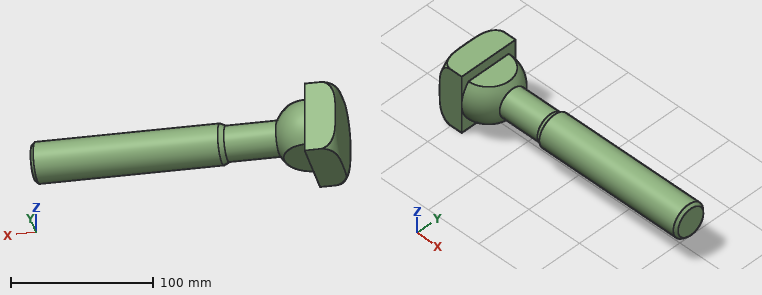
import cadquery as cq
import math

total_length = 222.0
head_width = 54.0
head_thickness = 22.0
collar_height = 36.0
neck_diameter = 26.0
shank_diameter = 30.0
shank_start = 87.0
shoulder_length = 4.0
tip_chamfer_length = 2.5
tip_diameter = 25.5

face_radius = head_width / 2
corner_radius = face_radius * math.sqrt(2)
corner_rounding = corner_radius - face_radius

collar_radius = head_width / 2


def make_head():
    square = cq.Workplane("YZ").rect(head_width, head_width).extrude(head_thickness)
    arc_offset = corner_rounding * math.sqrt(0.5)
    arc_middle = (corner_rounding - arc_offset, face_radius + arc_offset)
    envelope = (
        cq.Workplane("XY")
        .lineTo(0, face_radius)
        .threePointArc(arc_middle, (corner_rounding, corner_radius))
        .lineTo(head_thickness, corner_radius)
        .lineTo(head_thickness, 0)
        .close()
        .revolve(360, (0, 0), (1, 0))
    )
    return square.intersect(envelope)


def make_collar():
    sphere = cq.Workplane("XY").sphere(collar_radius).translate((head_thickness, 0, 0))
    slab = (
        cq.Workplane("YZ", origin=(head_thickness, 0, 0))
        .rect(head_width, collar_height)
        .extrude(collar_radius)
    )
    return sphere.intersect(slab)


def make_shaft():
    neck_radius = neck_diameter / 2
    shank_radius = shank_diameter / 2
    return (
        cq.Workplane("XY")
        .moveTo(head_thickness, 0)
        .lineTo(head_thickness, neck_radius)
        .lineTo(shank_start - shoulder_length, neck_radius)
        .lineTo(shank_start, shank_radius)
        .lineTo(total_length - tip_chamfer_length, shank_radius)
        .lineTo(total_length, tip_diameter / 2)
        .lineTo(total_length, 0)
        .close()
        .revolve(360, (0, 0), (1, 0))
    )


result = make_head().union(make_collar()).union(make_shaft())